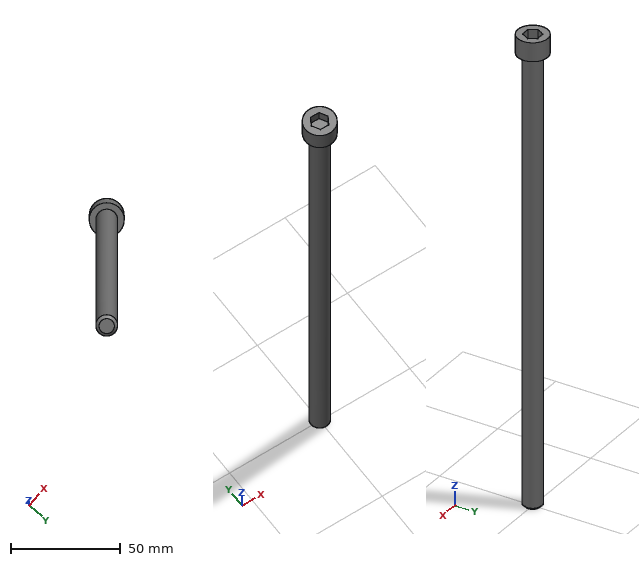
import cadquery as cq
import math

head_diameter = 16.0
head_height = 10.0
shank_diameter = 10.0
shank_length = 240.0
thread_length = 32.0
tip_chamfer = 1.5
socket_across_flats = 8.0
socket_depth = 5.0

plain_length = shank_length - thread_length


def make_head():
    return cq.Workplane("XY").circle(head_diameter / 2).extrude(head_height)


def make_plain_shank():
    return cq.Workplane("XY").circle(shank_diameter / 2).extrude(-plain_length)


def make_threaded_end():
    """Smooth cylinder at the thread's outer diameter, with a chamfered tip."""
    return (
        cq.Workplane("XY")
        .workplane(offset=-plain_length)
        .circle(shank_diameter / 2)
        .extrude(-thread_length)
        .faces("<Z")
        .chamfer(tip_chamfer)
    )


def make_socket():
    """Hexagonal key socket with two corners on the X axis."""
    across_corners = socket_across_flats / math.cos(math.pi / 6)
    return (
        cq.Workplane("XY")
        .workplane(offset=head_height - socket_depth)
        .polygon(6, across_corners)
        .extrude(socket_depth)
    )


screw = make_head().union(make_plain_shank(), clean=False)
screw = screw.union(make_threaded_end(), clean=False)
result = screw.cut(make_socket(), clean=False)